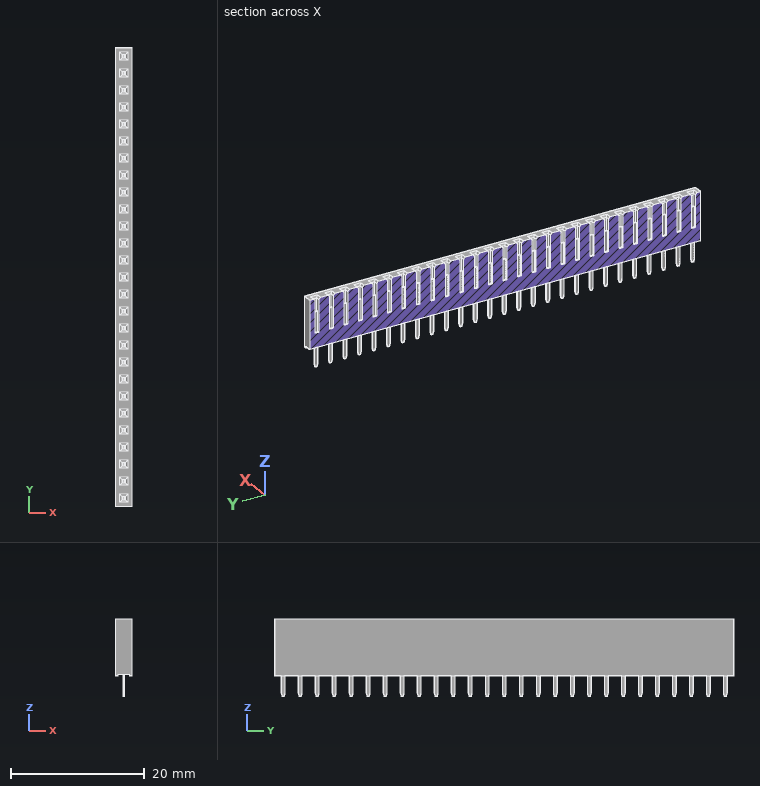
import cadquery as cq

contact_count = 27
length = 68.6
pitch = length / contact_count
width = 2.55
overall_height = 11.6

body_height = 8.5
foot_width = 0.425
channel_width = width - 2 * foot_width
channel_depth = 0.2

socket_size = 0.6
funnel_rim = 0.3
entry_size = socket_size + 2 * funnel_rim
socket_depth = 5.75
socket_floor_z = body_height - socket_depth

contact_thickness = 0.2
blade_width = 0.5
blade_height = 3.4
tail_width = 0.6
tail_length = overall_height - body_height
tip_width = 0.3
tip_length = 0.5

first_contact_y = -pitch * (contact_count - 1) / 2
contact_positions = [(0, first_contact_y + index * pitch) for index in range(contact_count)]


def make_housing():
    """Rectangular bar with a shallow channel along its underside."""
    from_bottom = (True, True, False)
    bar = cq.Workplane("XY").box(width, length, body_height, centered=from_bottom)
    channel = cq.Workplane("XY").box(channel_width, length, channel_depth, centered=from_bottom)
    return bar.cut(channel)


def make_socket():
    """Cavity of one contact: straight square hole and the funnel at the top face."""
    hole = (
        cq.Workplane("XY", origin=(0, 0, socket_floor_z))
        .rect(socket_size, socket_size)
        .extrude(socket_depth)
    )
    funnel = (
        cq.Workplane("XY", origin=(0, 0, body_height))
        .rect(entry_size, entry_size)
        .workplane(offset=-funnel_rim)
        .rect(socket_size, socket_size)
        .loft(ruled=True)
    )
    return hole.union(funnel)


def make_blade():
    """Upper part of one contact, rising from the socket floor."""
    return (
        cq.Workplane("XY", origin=(0, 0, socket_floor_z))
        .rect(contact_thickness, blade_width)
        .extrude(blade_height)
    )


def make_tail():
    """Lower part of one contact, from the channel roof down to its narrow tip."""
    half_width = tail_width / 2
    half_tip = tip_width / 2
    shoulder_z = tip_length - tail_length
    return (
        cq.Workplane("YZ")
        .polyline([
            (-half_width, channel_depth),
            (-half_width, shoulder_z),
            (-half_tip, -tail_length),
            (half_tip, -tail_length),
            (half_width, shoulder_z),
            (half_width, channel_depth),
        ])
        .close()
        .extrude(contact_thickness / 2, both=True)
    )


def at_each_contact(shape):
    """Copies of a shape placed at every contact position."""
    return cq.Workplane("XY").pushPoints(contact_positions).eachpoint(
        lambda location: shape.val().moved(location)
    )


housing = make_housing().cut(at_each_contact(make_socket()))
result = housing.union(at_each_contact(make_blade())).union(at_each_contact(make_tail()))